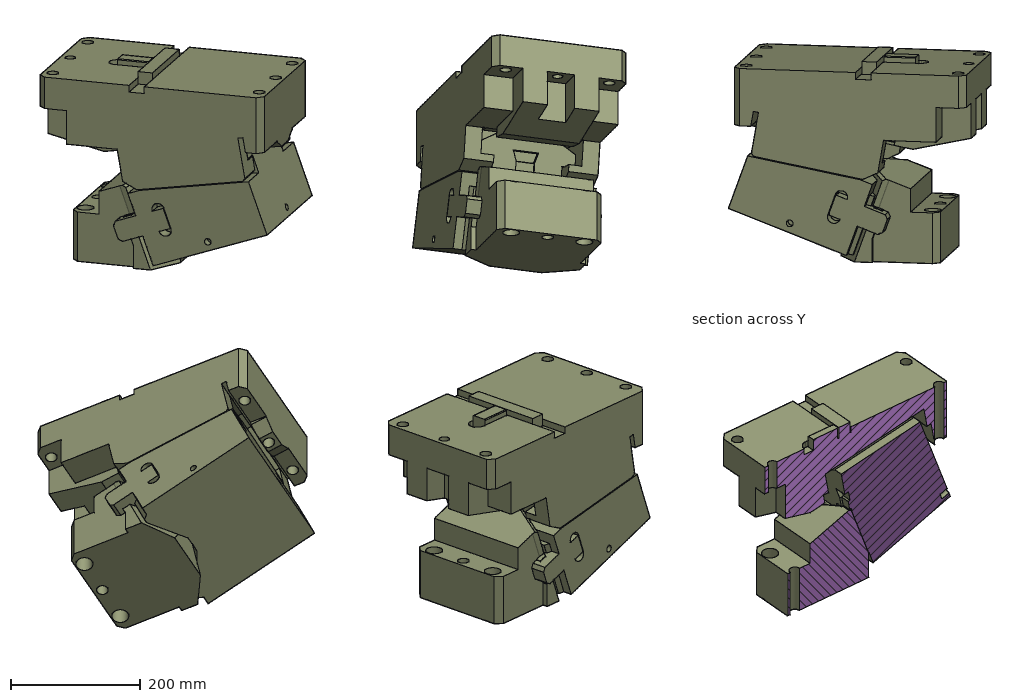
import cadquery as cq
import math


TOTAL_LENGTH = 372.0
TOTAL_HEIGHT = 309.0
FULL_WIDTH = 220.0
CORNER_CHAMFER = 10.0
V_ANGLE = 30.0
TIP_HALF = 15.0
CLEARANCE = 1.5
ROOF_GAP = 18.5
FAR = 744.0
V_SLOPE = math.tan(math.radians(V_ANGLE))

HOLDER_LENGTH = 364.2
HOLDER_TOP = 300.0
FLANGE_BOTTOM = 249.3
SIDE_BOTTOM = 195.0
END_BOTTOM = 210.0
NOTCH_LENGTH = 45.8
PRONG_HALF = 62.5
PRONG_FRONT = 194.2
PRONG_LOW_X = 91.0
PRONG_UP = 52.5
PRONG_GAP = 10.0
RECESS_HALF = 22.5
RECESS_DEPTH = 41.0

GUIDE_TILT = 10.0
GUIDE_X, GUIDE_Z = 160.5, 133.0
FOOT_LEFT, FOOT_RIGHT = -21.0, 179.0
FOOT_LEFT_RISE = 15.0
FOOT_RIGHT_CHAMFER = 4.0
END_SLOT_WIDTH = 8.0
END_SLOT_TOP = 69.2
LUG_TIP = 26.0
LUG_EDGE = 38.7

KEYWAY_X, KEYWAY_WIDTH, KEYWAY_DEPTH = 147.7, 24.5, 10.8
CROSS_KEY_WIDTH, CROSS_KEY_HALF = 23.0, 65.5
LONG_KEY_X, LONG_KEY_HALF, LONG_KEY_GAP = 96.7, 12.5, 1.0
LONG_SLOT_HALF, LONG_SLOT_ARC_X = 13.0, 92.3
KEY_CHAMFER = 1.5

HOLE_DIAMETER = 18.0
LEFT_HOLE_X, LEFT_HOLE_Y, LEFT_MIDDLE_DIAMETER = 15.5, 85.0, 16.0
RIGHT_HOLE_X, RIGHT_HOLE_Y = 349.5, 80.0

SLIDE_TILT = 20.0
SLIDE_LENGTH = 197.2
SLIDE_Z = 12.5
SLIDE_X = TOTAL_LENGTH - SLIDE_LENGTH * math.cos(math.radians(SLIDE_TILT))
SLIDE_HEIGHT = 119.8

HEAD_LEFT = 7.5
NECK_HALF = 60.0
HEAD_HALF = 81.0
HEAD_BOTTOM = 27.5
HEAD_EDGE = 48.5
HEAD_PEAK = HEAD_EDGE + (HEAD_HALF - TIP_HALF) * V_SLOPE
END_POCKET_HALF, END_POCKET_TOP_HALF = 15.3, 21.0
END_POCKET_TOP = 44.0
END_POCKET_DEPTH = 3.7

ARM_REACH = 40.5
ARM_BOTTOM, ARM_WIDTH = 49.5, 33.5
ARM_CHAMFER = 5.5
POCKET_U, POCKET_RADIUS = 38.7, 10.0
POCKET_GAP = 1.0
LIP_OUTER_HALF, LIP_INNER_HALF = 95.2, 90.0
LIP_REACH, LIP_HEIGHT = 7.0, 99.0
SIDE_HOLE_U, SIDE_HOLE_V, SIDE_HOLE_DIAMETER, SIDE_HOLE_DEPTH = 99.7, 14.0, 10.5, 15.0
END_HOLE_V, END_HOLE_DIAMETER, END_HOLE_DEPTH = 13.8, 10.0, 15.0

BASE_LEFT, BASE_RIGHT = 45.8, 208.5
BASE_HALF = 85.5
LEDGE_END, LEDGE_HEIGHT = 90.5, 79.5
BASE_TOP_V = 130.2
RAIL_HALF = 93.8
RAIL_LEFT = 149.2
RAIL_FOOT_HEIGHT = 41.0
RAIL_BACK_U = -26.8
RAIL_TOP_V = 83.7
VEE_EDGE_U = -13.5
VEE_TOP_CHAMFER = 4.5
VEE_TIP_U = VEE_EDGE_U + (RAIL_HALF - TIP_HALF) * V_SLOPE
WEDGE_BACK_U, WEDGE_FRONT_U = -19.0, -9.5
WEDGE_HALF = RAIL_HALF - (WEDGE_FRONT_U - VEE_EDGE_U) / V_SLOPE
BASE_HOLE_X, BASE_HOLE_Y = 60.3, 60.0
BASE_HOLE_DIAMETER, BASE_MIDDLE_DIAMETER = 26.0, 18.0

ARM_DEPTH = FULL_WIDTH / 2 - BASE_HALF


def side_plane(x, z, tilt):
    """Plane seen from -Y with its origin at (x, 0, z) and its first axis tilted up from +X."""
    a = math.radians(tilt)
    return cq.Plane(origin=(x, 0, z), xDir=(math.cos(a), 0, math.sin(a)), normal=(0, -1, 0))


def section_plane(x, z, tilt):
    """Plane square to a guide tilted up from +X, with its first axis along +Y."""
    a = math.radians(tilt)
    return cq.Plane(origin=(x, 0, z), xDir=(0, 1, 0), normal=(math.cos(a), 0, math.sin(a)))


def plan_plane(x, z, tilt):
    """Plane of a tilted face, with its first axis up the tilt and its second along +Y."""
    a = math.radians(tilt)
    return cq.Plane(origin=(x, 0, z), xDir=(math.cos(a), 0, math.sin(a)),
                    normal=(-math.sin(a), 0, math.cos(a)))


UPRIGHT = side_plane(0, 0, 0)
GUIDE = side_plane(GUIDE_X, GUIDE_Z, GUIDE_TILT)
GUIDE_SECTION = section_plane(GUIDE_X, GUIDE_Z, GUIDE_TILT)
SLIDE = side_plane(SLIDE_X, SLIDE_Z, SLIDE_TILT)
SLIDE_PLAN = plan_plane(SLIDE_X, SLIDE_Z, SLIDE_TILT)


def plate(plane, points, half_width):
    """Outline on a side plane, extruded evenly to both sides of Y = 0."""
    return cq.Workplane(plane).polyline(points).close().extrude(half_width, both=True)


def block(plane, left, right, bottom, top, half_width):
    """Rectangular block on a side plane, centred on Y = 0."""
    return plate(plane, [(left, bottom), (right, bottom), (right, top), (left, top)], half_width)


def mirrored(half):
    """The points of one side followed by their reflections, for an outline closed at the axis."""
    return half + [(-y, h) for y, h in reversed(half)]


def holes(x, ys, diameter):
    """Vertical through holes at one X."""
    return cq.Workplane("XY").pushPoints([(x, y) for y in ys]).circle(diameter / 2).extrude(FAR)


def guide_xz(along, up):
    """X and Z of a point given in the holder guide frame."""
    p = GUIDE.toWorldCoords((along, up))
    return (p.x, p.z)


def on_foot_side(along, z):
    """X and Z, at height z, on the face square to the guide at the given distance along it."""
    a = math.radians(GUIDE_TILT)
    up = (z - GUIDE_Z - along * math.sin(a)) / math.cos(a)
    return guide_xz(along, up)


def tee_outline(grow, roof_gap):
    """Tee with a sloping roof, as (y, up) points; grow and roof_gap enlarge it into the holder's slot."""
    neck = NECK_HALF + grow
    head = HEAD_HALF + grow
    return mirrored([
        (neck, -CLEARANCE - grow),
        (neck, HEAD_BOTTOM - grow),
        (head, HEAD_BOTTOM - grow),
        (head, HEAD_EDGE + roof_gap),
        (TIP_HALF, HEAD_PEAK + roof_gap),
    ])


def holder_body():
    """Top plate and foot, with the left corners notched and the tee slot cut along the guide."""
    slot_right = FOOT_RIGHT + END_SLOT_WIDTH
    outline = [
        (0, HOLDER_TOP),
        (0, SIDE_BOTTOM),
        on_foot_side(FOOT_LEFT, SIDE_BOTTOM),
        guide_xz(FOOT_LEFT, FOOT_LEFT_RISE),
        guide_xz(0, 0),
        guide_xz(FOOT_RIGHT - FOOT_RIGHT_CHAMFER, 0),
        guide_xz(FOOT_RIGHT, FOOT_RIGHT_CHAMFER),
        guide_xz(FOOT_RIGHT, END_SLOT_TOP),
        guide_xz(slot_right, END_SLOT_TOP),
        on_foot_side(slot_right, END_BOTTOM),
        (HOLDER_LENGTH, END_BOTTOM),
        (HOLDER_LENGTH, HOLDER_TOP),
    ]
    body = plate(UPRIGHT, outline, FULL_WIDTH / 2).edges("|Z").edges("<X or >X").chamfer(CORNER_CHAMFER)
    side_width = FULL_WIDTH / 2 - PRONG_HALF
    for side in (1, -1):
        notch = cq.Workplane("XY").center(0, side * (PRONG_HALF + side_width / 2))
        body = body.cut(notch.rect(2 * NOTCH_LENGTH, side_width).extrude(FLANGE_BOTTOM))
    slot = cq.Workplane(GUIDE_SECTION).workplane(offset=FOOT_LEFT)
    slot = slot.polyline(tee_outline(CLEARANCE, ROOF_GAP)).close()
    return body.cut(slot.extrude(FOOT_RIGHT - FOOT_LEFT))


def prongs():
    """Block under the left end, which the recess later splits into two prongs at its front."""
    end = FOOT_LEFT - PRONG_GAP
    tip_x, tip_z = guide_xz(end, PRONG_UP)
    low_z = tip_z - (tip_x - PRONG_LOW_X) * math.tan(math.radians(GUIDE_TILT))
    outline = [
        (0, FLANGE_BOTTOM),
        (0, PRONG_FRONT),
        (PRONG_LOW_X, low_z),
        (tip_x, tip_z),
        on_foot_side(end, SIDE_BOTTOM),
        (tip_x, FLANGE_BOTTOM),
    ]
    return plate(UPRIGHT, outline, PRONG_HALF)


def stop_lug():
    """Vee-bottomed stop under the right end."""
    half = TIP_HALF + (LUG_EDGE - LUG_TIP) / V_SLOPE
    section = mirrored([(TIP_HALF, LUG_TIP), (half, LUG_EDGE), (half, END_SLOT_TOP)])
    lug = cq.Workplane(GUIDE_SECTION).workplane(offset=FOOT_RIGHT + END_SLOT_WIDTH)
    lug = lug.polyline(section).close().extrude(FAR)
    return lug.intersect(block(UPRIGHT, 0, HOLDER_LENGTH, 0, HOLDER_TOP, FULL_WIDTH))


def keyways():
    """Slot across the top, and a round-ended slot running into it."""
    floor = HOLDER_TOP - KEYWAY_DEPTH
    cross = block(UPRIGHT, KEYWAY_X, KEYWAY_X + KEYWAY_WIDTH, floor, TOTAL_HEIGHT, FULL_WIDTH)
    long_slot = block(UPRIGHT, LONG_SLOT_ARC_X, KEYWAY_X, floor, TOTAL_HEIGHT, LONG_SLOT_HALF)
    round_end = cq.Workplane("XY").workplane(offset=floor).center(LONG_SLOT_ARC_X, 0)
    return cross.union(long_slot).union(round_end.circle(LONG_SLOT_HALF).extrude(KEYWAY_DEPTH))


def keys():
    """Keys standing in the two slots."""
    floor = HOLDER_TOP - KEYWAY_DEPTH
    cross = block(UPRIGHT, KEYWAY_X, KEYWAY_X + CROSS_KEY_WIDTH, floor, TOTAL_HEIGHT, CROSS_KEY_HALF)
    long_key = block(UPRIGHT, LONG_KEY_X, KEYWAY_X - LONG_KEY_GAP, floor, TOTAL_HEIGHT, LONG_KEY_HALF)
    return cross.union(long_key.edges(">Z and |X").chamfer(KEY_CHAMFER))


def make_holder():
    holder = holder_body().union(prongs()).union(stop_lug())
    holder = holder.cut(block(UPRIGHT, 0, RECESS_DEPTH, 0, FLANGE_BOTTOM, RECESS_HALF))
    holder = holder.cut(keyways()).union(keys())
    holder = holder.cut(holes(LEFT_HOLE_X, (-LEFT_HOLE_Y, LEFT_HOLE_Y), HOLE_DIAMETER))
    holder = holder.cut(holes(LEFT_HOLE_X, (0,), LEFT_MIDDLE_DIAMETER))
    return holder.cut(holes(RIGHT_HOLE_X, (-RIGHT_HOLE_Y, 0, RIGHT_HOLE_Y), HOLE_DIAMETER))


def vee_prism():
    """Everything on the base's side of its vee guide face, up to the sloping top."""
    outline = [
        (-FAR, -RAIL_HALF),
        (VEE_EDGE_U, -RAIL_HALF),
        (VEE_TIP_U, -TIP_HALF),
        (VEE_TIP_U, TIP_HALF),
        (VEE_EDGE_U, RAIL_HALF),
        (-FAR, RAIL_HALF),
    ]
    start = cq.Workplane(SLIDE_PLAN).workplane(offset=BASE_TOP_V - FAR)
    return start.polyline(outline).close().extrude(FAR)


def wedge_rails():
    """Upper rails, which widen toward the vee."""
    outline = [
        (WEDGE_BACK_U, -BASE_HALF),
        (WEDGE_FRONT_U, -WEDGE_HALF),
        (VEE_TIP_U, -WEDGE_HALF),
        (VEE_TIP_U, WEDGE_HALF),
        (WEDGE_FRONT_U, WEDGE_HALF),
        (WEDGE_BACK_U, BASE_HALF),
    ]
    start = cq.Workplane(SLIDE_PLAN).workplane(offset=RAIL_TOP_V)
    return start.polyline(outline).close().extrude(BASE_TOP_V - RAIL_TOP_V)


def square_rails():
    """Lower rails, which the slide's arms hook behind."""
    rails = block(SLIDE, RAIL_BACK_U, FAR, -FAR, RAIL_TOP_V, RAIL_HALF)
    foot = block(UPRIGHT, RAIL_LEFT, BASE_RIGHT, 0, RAIL_FOOT_HEIGHT, RAIL_HALF)
    return rails.union(foot).intersect(block(UPRIGHT, 0, BASE_RIGHT, 0, FAR, RAIL_HALF))


def make_base():
    ledge = block(UPRIGHT, BASE_LEFT, LEDGE_END, 0, LEDGE_HEIGHT, BASE_HALF)
    ledge = ledge.edges("|Z and <X").chamfer(CORNER_CHAMFER)
    tower = block(UPRIGHT, LEDGE_END, BASE_RIGHT, 0, TOTAL_HEIGHT, BASE_HALF)
    vee = vee_prism().faces(cq.selectors.DirectionMinMaxSelector(SLIDE.yDir)).edges().chamfer(VEE_TOP_CHAMFER)
    guide = tower.union(square_rails()).union(wedge_rails()).intersect(vee)
    base = ledge.union(guide)
    base = base.cut(holes(BASE_HOLE_X, (-BASE_HOLE_Y, BASE_HOLE_Y), BASE_HOLE_DIAMETER))
    return base.cut(holes(BASE_HOLE_X, (0,), BASE_MIDDLE_DIAMETER))


def slide_block():
    """Main body, with its top cut along the holder guide."""
    body = block(SLIDE, 0, SLIDE_LENGTH, 0, SLIDE_HEIGHT, FULL_WIDTH / 2)
    return body.intersect(block(GUIDE, -FAR, FAR, -FAR, -CLEARANCE, FULL_WIDTH))


def tee_head():
    """Tee that runs in the holder's slot, with a root that carries its neck down into the body."""
    head = cq.Workplane(GUIDE_SECTION).workplane(offset=HEAD_LEFT)
    head = head.polyline(tee_outline(0, 0)).close().extrude(FAR)
    root = block(GUIDE, HEAD_LEFT, FOOT_RIGHT / 2, -2 * CLEARANCE, 0, NECK_HALF)
    return head.union(root).intersect(block(SLIDE, -FAR, SLIDE_LENGTH, 0, FAR, FULL_WIDTH))


def lip():
    """Raised band on the slide's left end, with sloping sides; the vee groove splits it in two."""
    outline = [
        (0, -LIP_OUTER_HALF),
        (-LIP_REACH, -LIP_INNER_HALF),
        (-LIP_REACH, LIP_INNER_HALF),
        (0, LIP_OUTER_HALF),
    ]
    return cq.Workplane(SLIDE_PLAN).polyline(outline).close().extrude(LIP_HEIGHT)


def arms():
    """Two hooks that reach around the rails of the base."""
    top = ARM_BOTTOM + ARM_WIDTH
    outline = [
        (0, ARM_BOTTOM),
        (0, top),
        (ARM_CHAMFER - ARM_REACH, top),
        (-ARM_REACH, top - ARM_CHAMFER),
        (-ARM_REACH, ARM_BOTTOM + ARM_CHAMFER),
        (ARM_CHAMFER - ARM_REACH, ARM_BOTTOM),
    ]
    return plate(SLIDE, outline, FULL_WIDTH / 2).cut(block(SLIDE, -FAR, FAR, -FAR, FAR, BASE_HALF))


def end_pockets():
    """Stepped recess in the left end of the tee head."""
    start = cq.Workplane(GUIDE_SECTION).workplane(offset=HEAD_LEFT)
    lower = mirrored([(END_POCKET_HALF, -FAR), (END_POCKET_HALF, HEAD_BOTTOM)])
    upper = mirrored([(END_POCKET_HALF, HEAD_BOTTOM), (END_POCKET_TOP_HALF, END_POCKET_TOP)])
    lower = start.polyline(lower).close().extrude(END_POCKET_DEPTH)
    return lower.union(start.polyline(upper).close().extrude(2 * END_POCKET_DEPTH))


def arm_pockets():
    """Oblong pocket in each side, filled across its middle except for a narrow gap."""
    middle = ARM_BOTTOM + ARM_WIDTH / 2
    oblong = cq.Workplane(SLIDE).center(POCKET_U, middle)
    oblong = oblong.slot2D(ARM_WIDTH + 2 * POCKET_RADIUS, 2 * POCKET_RADIUS, 90)
    oblong = oblong.extrude(FULL_WIDTH / 2, both=True)
    fill_right = POCKET_U + POCKET_RADIUS - POCKET_GAP
    fill = block(SLIDE, 0, fill_right, ARM_BOTTOM, ARM_BOTTOM + ARM_WIDTH, FULL_WIDTH)
    return oblong.cut(fill).cut(block(SLIDE, -FAR, FAR, -FAR, FAR, FULL_WIDTH / 2 - ARM_DEPTH))


def slide_holes():
    """Blind holes in both sides and in the right end."""
    side = cq.Workplane(SLIDE).center(SIDE_HOLE_U, SIDE_HOLE_V).circle(SIDE_HOLE_DIAMETER / 2)
    side = side.extrude(FULL_WIDTH / 2, both=True)
    side = side.cut(block(SLIDE, 0, SLIDE_LENGTH, -FAR, FAR, FULL_WIDTH / 2 - SIDE_HOLE_DEPTH))
    end = cq.Workplane(section_plane(SLIDE_X, SLIDE_Z, SLIDE_TILT)).workplane(offset=SLIDE_LENGTH)
    return side.union(end.center(0, END_HOLE_V).circle(END_HOLE_DIAMETER / 2).extrude(-END_HOLE_DEPTH))


def make_slide(base):
    """The slide, relieved where its arms hook around the base."""
    slide = slide_block().union(tee_head()).cut(end_pockets()).union(lip()).cut(vee_prism())
    slide = slide.union(arms()).cut(base)
    return slide.cut(arm_pockets()).cut(slide_holes())


holder = make_holder()
base = make_base()
slide = make_slide(base)

result = cq.Compound.makeCompound([holder.solids().val(), base.solids().val(), slide.solids().val()])